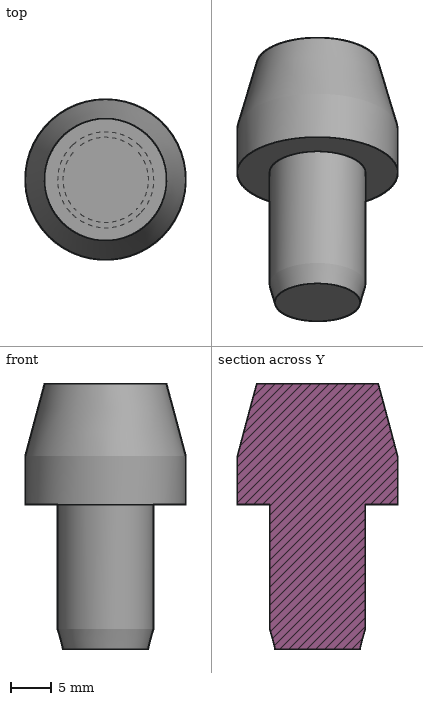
import cadquery as cq
import math

total_height = 33.0
head_diameter = 20.0
shank_diameter = 11.95
shank_length = 18.0
tip_height = 2.5
collar_height = 6.0
taper_angle = 15.0

head_radius = head_diameter / 2
shank_radius = shank_diameter / 2
taper_start = shank_length + collar_height
taper_slope = math.tan(math.radians(taper_angle))
top_radius = head_radius - (total_height - taper_start) * taper_slope
tip_radius = shank_radius - tip_height * taper_slope

half_profile = (
    cq.Workplane("YZ")
    .moveTo(0, 0)
    .lineTo(tip_radius, 0)
    .lineTo(shank_radius, tip_height)
    .lineTo(shank_radius, shank_length)
    .lineTo(head_radius, shank_length)
    .lineTo(head_radius, taper_start)
    .lineTo(top_radius, total_height)
    .lineTo(0, total_height)
    .close()
)

result = half_profile.revolve(360, (0, 0, 0), (0, 1, 0))